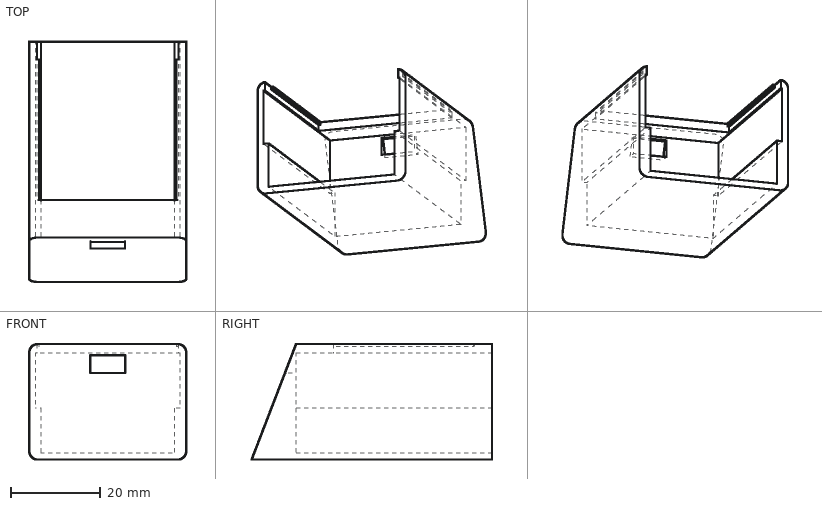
import cadquery as cq

width = 35.3
length = 54.0
height = 26.0
edge_radius = 2.0
slope_setback = 10.0

floor_thickness = 1.5
ledge_height = 11.6
lower_cavity_width = 30.0
upper_cavity_width = 32.4
cavity_front = slope_setback
roof_thickness = 2.0

lid_front = 18.4
lid_channel_width = 31.8
lid_mouth_width = 30.9
lip_thickness = 0.6
lip_back_gap = 4.0

window_width = 7.8
window_height = 3.9
window_bottom = 19.5

roof_underside = height - roof_thickness


def centered_block(block_width, y_start, y_end, z_bottom, z_top):
    """Box centered on X that spans the given Y and Z ranges."""
    return (
        cq.Workplane("XY")
        .box(block_width, y_end - y_start, z_top - z_bottom, centered=(True, False, False))
        .translate((0, y_start, z_bottom))
    )


def make_shell():
    """Solid body with rounded long edges and a sloped front."""
    block = centered_block(width, 0, length, 0, height).edges("|Y").fillet(edge_radius)
    front_wedge = (
        cq.Workplane("YZ")
        .polyline([(0, 0), (slope_setback, height), (0, height)])
        .close()
        .extrude(width / 2, both=True)
    )
    return block.cut(front_wedge)


def make_cavity():
    """Stepped interior, open at the back."""
    lower = centered_block(lower_cavity_width, cavity_front, length, floor_thickness, ledge_height)
    upper = centered_block(upper_cavity_width, cavity_front, length, ledge_height, roof_underside)
    return lower.union(upper)


def make_lid_opening():
    """Lid channel, narrowed at the top by the lips except at the back end."""
    lip_underside = height - lip_thickness
    lip_end = length - lip_back_gap
    channel = centered_block(lid_channel_width, lid_front, length, roof_underside, lip_underside)
    mouth = centered_block(lid_mouth_width, lid_front, lip_end, lip_underside, height)
    back_entry = centered_block(lid_channel_width, lip_end, length, lip_underside, height)
    return channel.union(mouth).union(back_entry)


def make_window():
    """Rectangular window from the sloped front into the cavity."""
    return centered_block(window_width, 0, cavity_front, window_bottom, window_bottom + window_height)


result = make_shell().cut(make_cavity()).cut(make_lid_opening()).cut(make_window())